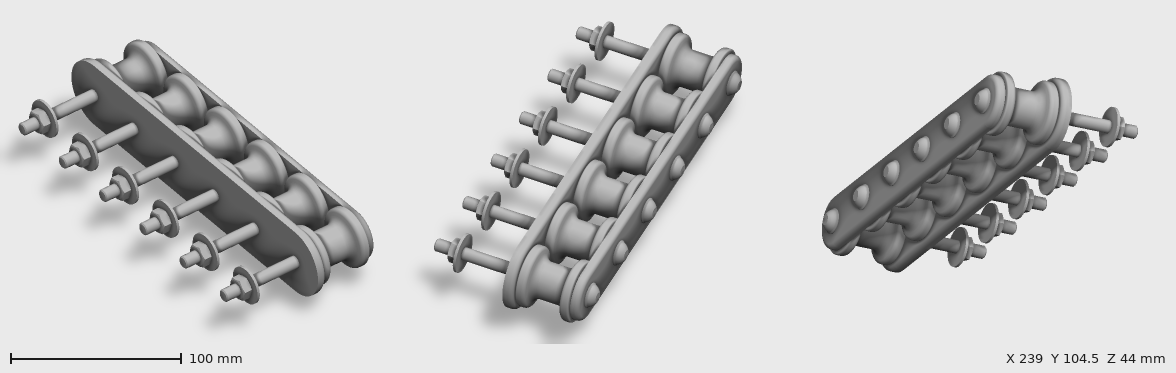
import cadquery as cq
import math

plate_length = 239.0
plate_width = 44.0
plate_thickness = 6.2
plate_edge_radius = 2.9
back_plate_width = 33.0
back_plate_thickness = 5.3

roller_count = 6
roller_diameter = 38.0
roller_length = 34.0
core_diameter = 23.0
flange_rim_width = 3.5
flange_slope = 15.0
cove_radius = 4.8
flange_inner_radius = 2.5
flange_outer_radius = 1.0
side_clearance = 0.5
spacer_diameter = 12.0

bolt_diameter = 8.0
bolt_reach = 53.0
bolt_chamfer = 0.7
head_diameter = 15.5
head_top_diameter = 6.7
head_height = 5.0
head_rim_height = 0.5
dome_diameter = 13.9
dome_base_height = 1.2

washer_diameter = 24.0
washer_thickness = 1.7
nut_sides = 6
nut_flats = 13.1
nut_height = 6.2
nut_bevel_diameter = 12.0
nut_bevel_height = 0.7
nut_bevel_overreach = 0.2
nut_turn = 14.0
nut_outer_face = 43.0

axis_span = plate_length - plate_width
roller_pitch = axis_span / (roller_count - 1)
roller_front = plate_thickness + side_clearance
back_plate_front = roller_front + roller_length + side_clearance
head_seat = back_plate_front + back_plate_thickness
nut_inner_face = nut_outer_face - nut_height


def cylinder(diameter, start, end):
    """Cylinder about the Y axis from Y = start to Y = end."""
    plane = cq.Workplane("XZ", origin=(0, start, 0))
    return plane.circle(diameter / 2).extrude(start - end)


def plate(width, thickness, front):
    """Round-ended plate with the long edges of its +Y face rounded."""
    outline = cq.Workplane("XZ", origin=(0, front, 0)).slot2D(axis_span + width, width)
    return outline.extrude(-thickness).faces(">Y").edges().fillet(plate_edge_radius)


def polar(centre, radius, degrees):
    """Point on a circle, at an angle measured from the radial direction towards +Y."""
    angle = math.radians(degrees)
    return (centre[0] + radius * math.cos(angle), centre[1] + radius * math.sin(angle))


def half_roller():
    """Front half of the spool: rounded rim, sloping flange face, cove and half the core."""
    rim = roller_diameter / 2
    core = core_diameter / 2
    outer_centre = (rim - flange_outer_radius, flange_outer_radius)
    inner_centre = (rim - flange_inner_radius, flange_rim_width)
    rounding_end_angle = 90 - flange_slope
    rounding_end = polar(inner_centre, flange_inner_radius, rounding_end_angle)
    cove_x = core + cove_radius
    radii_sum = flange_inner_radius + cove_radius
    slope = math.radians(flange_slope)
    centre_gap = inner_centre[0] - cove_x
    cove_y = flange_rim_width + (radii_sum + centre_gap * math.sin(slope)) / math.cos(slope)
    cove_centre = (cove_x, cove_y)
    cove_start_angle = -90 - flange_slope
    cove_middle_angle = (cove_start_angle - 180) / 2
    profile = (
        cq.Workplane("XY")
        .lineTo(outer_centre[0], 0)
        .threePointArc(polar(outer_centre, flange_outer_radius, -45), (rim, flange_outer_radius))
        .lineTo(rim, flange_rim_width)
        .threePointArc(polar(inner_centre, flange_inner_radius, rounding_end_angle / 2), rounding_end)
        .lineTo(*polar(cove_centre, cove_radius, cove_start_angle))
        .threePointArc(polar(cove_centre, cove_radius, cove_middle_angle), (core, cove_y))
        .lineTo(core, roller_length / 2)
        .lineTo(0, roller_length / 2)
        .close()
    )
    return profile.revolve(360, (0, 0, 0), (0, 1, 0))


def roller():
    """Complete spool: two mirrored halves standing clear of the front plate."""
    front_half = half_roller()
    back_half = front_half.mirror("XZ", (0, roller_length / 2, 0))
    return front_half.union(back_half).translate((0, roller_front, 0))


def bolt_head():
    """Bolt head with a bevelled rim and a low, flat-topped dome."""
    rim = head_diameter / 2
    base = dome_diameter / 2
    top = head_top_diameter / 2
    dome_rise = head_height - dome_base_height
    centre_offset = (dome_rise**2 + top**2 - base**2) / (2 * dome_rise)
    sphere_radius = math.hypot(base, centre_offset)
    middle_rise = dome_rise / 2
    middle = math.sqrt(sphere_radius**2 - (middle_rise - centre_offset) ** 2)
    profile = (
        cq.Workplane("XY", origin=(0, head_seat, 0))
        .lineTo(rim, 0)
        .lineTo(rim, head_rim_height)
        .lineTo(base, dome_base_height)
        .threePointArc((middle, dome_base_height + middle_rise), (top, head_height))
        .lineTo(0, head_height)
        .close()
    )
    return profile.revolve(360, (0, 0, 0), (0, 1, 0))


def nut():
    """Hexagon nut with both faces bevelled at the corners."""
    corners = nut_flats / math.cos(math.pi / nut_sides)
    hexagon = (
        cq.Workplane("XZ", origin=(0, -nut_inner_face, 0))
        .polygon(nut_sides, corners)
        .extrude(nut_height)
        .rotate((0, 0, 0), (0, -1, 0), nut_turn)
    )
    bevel = nut_bevel_diameter / 2
    widest = corners / 2 + nut_bevel_overreach
    bevel_slope = nut_bevel_height / (corners / 2 - bevel)
    drop = bevel_slope * (widest - bevel)
    envelope = (
        cq.Workplane("XY", origin=(0, -nut_outer_face, 0))
        .lineTo(bevel, 0)
        .lineTo(widest, drop)
        .lineTo(widest, nut_height - drop)
        .lineTo(bevel, nut_height)
        .lineTo(0, nut_height)
        .close()
        .revolve(360, (0, 0, 0), (0, 1, 0))
    )
    return hexagon.intersect(envelope)


def roller_station():
    """Roller, spacers, bolt, washer and nut on one axis."""
    shank = cylinder(bolt_diameter, -bolt_reach, head_seat).faces("<Y").chamfer(bolt_chamfer)
    washer = cylinder(washer_diameter, -nut_inner_face, -nut_inner_face + washer_thickness)
    spacers = cylinder(spacer_diameter, plate_thickness, back_plate_front)
    bolt = shank.union(bolt_head())
    return bolt.union(washer).union(nut()).union(roller()).union(spacers)


front_plate = plate(plate_width, plate_thickness, 0)
back_plate = plate(back_plate_width, back_plate_thickness, back_plate_front)
result = front_plate.union(back_plate)
station = roller_station()
for index in range(roller_count):
    result = result.union(station.translate((index * roller_pitch - axis_span / 2, 0, 0)))